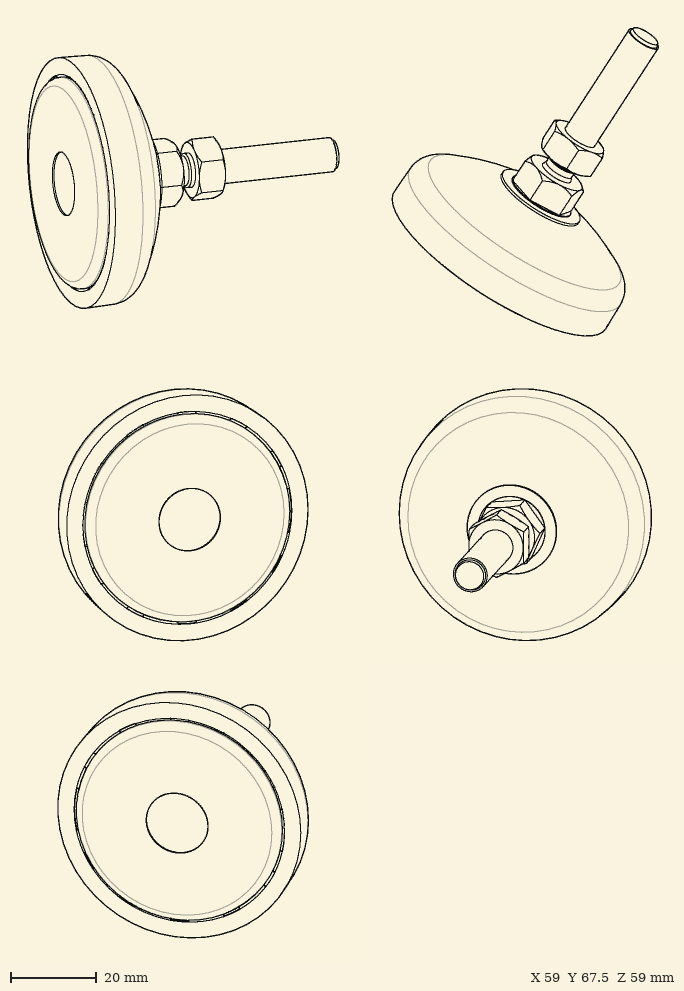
import cadquery as cq
import math


PAD_RADIUS = 24.9
PAD_ROUND = 1.9
PAD_PROTRUSION = 1.95
MARK_RECESS_RADIUS = 7.5
MARK_RECESS_DEPTH = 0.4

RIM_Y = PAD_PROTRUSION
RIM_RADIUS = 29.5
SKIRT_TOP_Y = 8.9
SKIRT_TOP_RADIUS = 29.3
FLANK_START_Y = 13.1
FLANK_START_RADIUS = 26.4
FLANK_END_Y = 20.0
HOUSING_TOP_Y = 20.6
COLLAR_RADIUS = 10.65
SHOULDER_ARC_RADIUS = 4.5
FLANK_ARC_RADIUS = 60.75
POCKET_RADIUS = 25.5
POCKET_DEPTH = 0.55

QUADRANT_CLIPS = [(18.5, 13), (45, 20), (75, 20)]

DISC_RADIUS = 8.0
DISC_THICKNESS = 0.3

STUD_TIP_Y = 67.5
STUD_RADIUS = 4.05
TIP_RADIUS = 3.4
TIP_STEP_RADIUS = 3.65
TIP_LENGTH = 0.8
NECK_RADIUS = 3.5
THREAD_END_Y = 30.45
NECK_START_Y = 30.05
FLARE_START_Y = 28.55
FLARE_RADIUS = 3.9
HEX_WIDTH = 14.0
HEX_TOP_Y = 27.55
HEX_BOTTOM_Y = HOUSING_TOP_Y + DISC_THICKNESS
HEX_CHAMFER_HEIGHT = 1.1
STUD_TURN = 113.7

NUT_WIDTH = 13.0
NUT_BOTTOM_Y = 31.45
NUT_HEIGHT = 6.55
NUT_CHAMFER_HEIGHT = 0.6
NUT_TURN = 90


def turned(outline):
    """Solid of revolution about the Y axis from a closed outline in the XY plane."""
    return outline.close().revolve(360, (0, 0, 0), (0, 1, 0))


def rotated(body, angle):
    """The body rotated about the Y axis, from +X toward +Z."""
    return body.rotate((0, 0, 0), (0, 1, 0), -angle)


def cylinder(radius, bottom_y, top_y):
    return cq.Workplane("XZ", origin=(0, bottom_y, 0)).circle(radius).extrude(bottom_y - top_y)


def hexagon(width, bottom_y, top_y, turn):
    """Hexagonal prism of the given width across flats, with one corner `turn` degrees from +X to +Z."""
    corner_diameter = width / math.cos(math.radians(30))
    prism = cq.Workplane("XZ", origin=(0, bottom_y, 0)).polygon(6, corner_diameter).extrude(bottom_y - top_y)
    return rotated(prism, turn)


def corner_envelope(width, bottom_y, top_y, bottom_chamfer, top_chamfer):
    """Round envelope that chamfers hexagon corners down to the circle inside the flats."""
    face_radius = width / 2
    corner_radius = face_radius / math.cos(math.radians(30))
    outline = cq.Workplane("XY").moveTo(0, bottom_y)
    if bottom_chamfer:
        outline = outline.lineTo(face_radius, bottom_y)
    outline = outline.lineTo(corner_radius, bottom_y + bottom_chamfer)
    outline = outline.lineTo(corner_radius, top_y - top_chamfer)
    return turned(outline.lineTo(face_radius, top_y).lineTo(0, top_y))


def make_pad():
    pad = cylinder(PAD_RADIUS, 0, RIM_Y + POCKET_DEPTH).faces("<Y").edges().fillet(PAD_ROUND)
    return pad.cut(cylinder(MARK_RECESS_RADIUS, 0, MARK_RECESS_DEPTH))


def make_clip(middle_angle, span):
    """Wedge that slopes from the rim edge down to the pad at the pocket floor."""
    floor_y = RIM_Y + POCKET_DEPTH
    section = cq.Workplane("XY").moveTo(POCKET_RADIUS, RIM_Y).lineTo(POCKET_RADIUS, floor_y)
    section = section.lineTo(PAD_RADIUS, floor_y).close()
    clip = section.revolve(span, (0, 0, 0), (0, 1, 0))
    return rotated(clip, span / 2 - middle_angle)


def make_housing():
    outline = (
        cq.Workplane("XY")
        .moveTo(0, RIM_Y)
        .lineTo(RIM_RADIUS, RIM_Y)
        .lineTo(SKIRT_TOP_RADIUS, SKIRT_TOP_Y)
        .radiusArc((FLANK_START_RADIUS, FLANK_START_Y), -SHOULDER_ARC_RADIUS)
        .radiusArc((COLLAR_RADIUS, FLANK_END_Y), -FLANK_ARC_RADIUS)
        .lineTo(COLLAR_RADIUS, HOUSING_TOP_Y)
        .lineTo(0, HOUSING_TOP_Y)
    )
    housing = turned(outline).cut(cylinder(POCKET_RADIUS, RIM_Y, RIM_Y + POCKET_DEPTH))
    for angle, span in QUADRANT_CLIPS:
        for middle_angle in (angle, 180 - angle, 180 + angle, -angle):
            housing = housing.union(make_clip(middle_angle, span))
    return housing


def make_stud():
    shank = turned(
        cq.Workplane("XY")
        .moveTo(0, HEX_TOP_Y)
        .lineTo(FLARE_RADIUS, HEX_TOP_Y)
        .lineTo(NECK_RADIUS, FLARE_START_Y)
        .lineTo(NECK_RADIUS, NECK_START_Y)
        .lineTo(STUD_RADIUS, THREAD_END_Y)
        .lineTo(STUD_RADIUS, STUD_TIP_Y - TIP_LENGTH)
        .lineTo(TIP_STEP_RADIUS, STUD_TIP_Y - TIP_LENGTH)
        .lineTo(TIP_RADIUS, STUD_TIP_Y)
        .lineTo(0, STUD_TIP_Y)
    )
    head = hexagon(HEX_WIDTH, HEX_BOTTOM_Y, HEX_TOP_Y, 0)
    head = head.intersect(corner_envelope(HEX_WIDTH, HEX_BOTTOM_Y, HEX_TOP_Y, 0, HEX_CHAMFER_HEIGHT))
    return rotated(head.union(shank), STUD_TURN)


def make_nut():
    top_y = NUT_BOTTOM_Y + NUT_HEIGHT
    nut = hexagon(NUT_WIDTH, NUT_BOTTOM_Y, top_y, NUT_TURN)
    nut = nut.intersect(
        corner_envelope(NUT_WIDTH, NUT_BOTTOM_Y, top_y, NUT_CHAMFER_HEIGHT, NUT_CHAMFER_HEIGHT)
    )
    return nut.cut(cylinder(STUD_RADIUS, NUT_BOTTOM_Y, top_y))


pad = make_pad()
housing = make_housing()
bearing_disc = cylinder(DISC_RADIUS, HOUSING_TOP_Y, HEX_BOTTOM_Y)
stud = make_stud()
lock_nut = make_nut()

result = cq.Compound.makeCompound(
    [pad.val(), housing.val(), bearing_disc.val(), stud.val(), lock_nut.val()]
)